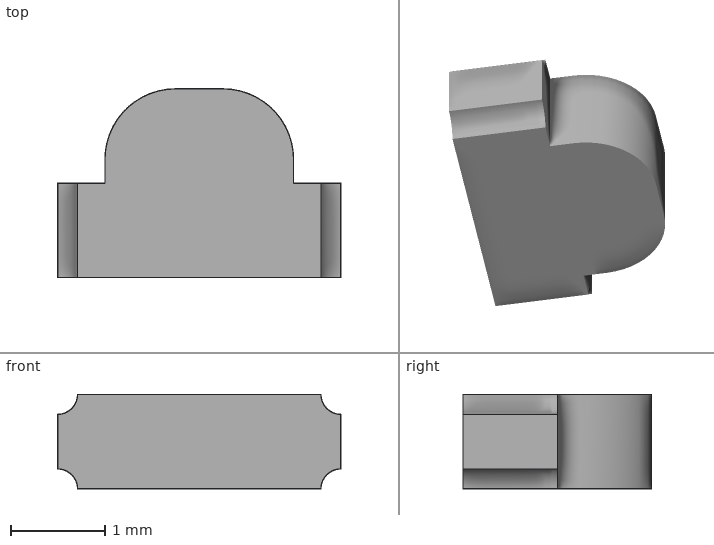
import cadquery as cq

base_width = 3.0
base_depth = 1.0
height = 1.0
notch_radius = 0.21
lens_width = 2.0
lens_depth = 1.0
lens_corner_radius = 0.75


def make_base():
    """Rectangular block with its rear face on Y = 0."""
    return cq.Workplane("XY").box(base_width, base_depth, height).translate((0, -base_depth / 2, 0))


def make_corner_notches():
    """Cylinders along Y, centred on the four corners of the base's XZ outline."""
    return (
        cq.Workplane("XZ")
        .rect(base_width, height, forConstruction=True)
        .vertices()
        .circle(notch_radius)
        .extrude(base_depth)
    )


def make_lens():
    """Block growing from Y = 0 toward +Y, with its two far vertical edges rounded."""
    return (
        cq.Workplane("XY")
        .box(lens_width, lens_depth, height)
        .translate((0, lens_depth / 2, 0))
        .edges("|Z and >Y")
        .fillet(lens_corner_radius)
    )


result = make_base().cut(make_corner_notches()).union(make_lens())